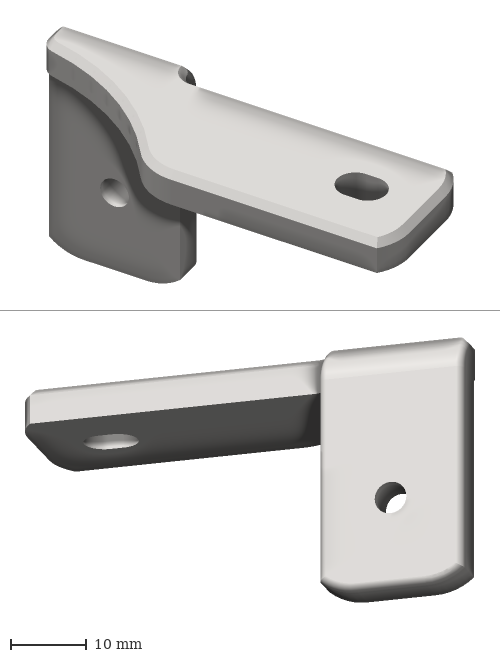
import cadquery as cq
import math

length = 63.5
depth = 25.0
height = 35.0
thickness = 5.0
arm_width = depth - thickness
upright_width = 20.0

end_radius = 8.0
end_flat = 9.5
edge_size = 1.0

nose_radius = 2.5
sweep_radius = 34.9
heel_radius = 8.0
heel_x = 30.1
notch_radius = 2.05

slot_length = 7.4
slot_width = 5.5
slot_x = 53.45
hole_diameter = 4.4
hole_z = 12.5

end_run = (arm_width - end_flat) / 2
end_drop = end_radius - math.sqrt(end_radius**2 - end_run**2)
end_half_angle = math.asin(end_run / end_radius) / 2
end_mid_run = end_radius * math.sin(end_half_angle)
end_mid_drop = end_radius * (1 - math.cos(end_half_angle))

inner_y = depth - thickness
arm_bottom = height - thickness


def point_toward(start, target, distance):
    """Point at a given distance from start on the line to target."""
    ratio = distance / math.dist(start, target)
    return tuple(s + ratio * (t - s) for s, t in zip(start, target))


def sweep_center(nose_center, heel_center):
    """Center of the hollow arc in front of the arm, tangent to the nose and heel arcs."""
    span = math.dist(nose_center, heel_center)
    to_nose = sweep_radius + nose_radius
    to_heel = sweep_radius + heel_radius
    along = (to_nose**2 - to_heel**2 + span**2) / (2 * span)
    aside = math.sqrt(to_nose**2 - along**2)
    ux = (heel_center[0] - nose_center[0]) / span
    uy = (heel_center[1] - nose_center[1]) / span
    return (nose_center[0] + along * ux + aside * uy, nose_center[1] + along * uy - aside * ux)


def make_arm():
    """Flat arm with a hollow front edge and a concave notch beside the upright."""
    nose = (nose_radius, inner_y)
    heel = (heel_x, heel_radius)
    sweep = sweep_center(nose, heel)
    nose_end = point_toward(nose, sweep, nose_radius)
    heel_start = point_toward(heel, sweep, heel_radius)
    chord_mid = tuple((a + b) / 2 for a, b in zip(nose_end, heel_start))
    sweep_mid = point_toward(sweep, chord_mid, sweep_radius)
    flat_low = end_run
    flat_high = arm_width - end_run
    shoulder_x = length - end_drop
    outline = (
        cq.Workplane("XY", origin=(0, 0, arm_bottom))
        .moveTo(0, depth)
        .lineTo(0, inner_y)
        .tangentArcPoint(nose_end, relative=False)
        .threePointArc(sweep_mid, heel_start)
        .tangentArcPoint((heel_x, 0), relative=False)
        .lineTo(shoulder_x, 0)
        .threePointArc((length - end_mid_drop, flat_low - end_mid_run), (length, flat_low))
        .lineTo(length, flat_high)
        .threePointArc((length - end_mid_drop, flat_high + end_mid_run), (shoulder_x, arm_width))
        .lineTo(upright_width + notch_radius, arm_width)
        .radiusArc((upright_width, arm_width + notch_radius), notch_radius)
        .lineTo(upright_width, depth)
        .close()
    )
    return outline.extrude(thickness)


def make_upright():
    """Hanging plate with arcs at its two lower corners."""
    flat_right = upright_width - end_run
    return (
        cq.Workplane("XZ", origin=(0, depth, 0))
        .moveTo(0, height)
        .lineTo(0, end_drop)
        .threePointArc((end_run - end_mid_run, end_mid_drop), (end_run, 0))
        .lineTo(flat_right, 0)
        .threePointArc((flat_right + end_mid_run, end_mid_drop), (upright_width, end_drop))
        .lineTo(upright_width, height)
        .close()
        .extrude(thickness)
    )


def make_bend_waste():
    """Material outside the bend: a 45 degree arc, then a tangent bevel up to the top."""
    diagonal = thickness * math.sqrt(0.5)
    bevel_rise = thickness - diagonal
    mid_angle = math.pi / 8
    arc_mid = (inner_y + thickness * math.cos(mid_angle), arm_bottom + thickness * math.sin(mid_angle))
    return (
        cq.Workplane("YZ")
        .moveTo(depth, arm_bottom)
        .threePointArc(arc_mid, (inner_y + diagonal, arm_bottom + diagonal))
        .lineTo(inner_y + diagonal - bevel_rise, height)
        .lineTo(depth, height)
        .close()
        .extrude(upright_width)
    )


bracket = make_arm().union(make_upright()).cut(make_bend_waste()).clean()

rounded = bracket.faces(">Y").edges("not >Z").fillet(edge_size)
chamfered = bracket.faces(">Z").edges("not(|X and >Y)").chamfer(edge_size)
blank = rounded.intersect(chamfered)

slot = (
    cq.Workplane("XY")
    .center(slot_x, arm_width / 2)
    .slot2D(slot_length, slot_width)
    .extrude(height)
)
hole = (
    cq.Workplane("XZ")
    .center(upright_width / 2, hole_z)
    .circle(hole_diameter / 2)
    .extrude(-depth)
)

result = blank.cut(slot).cut(hole)